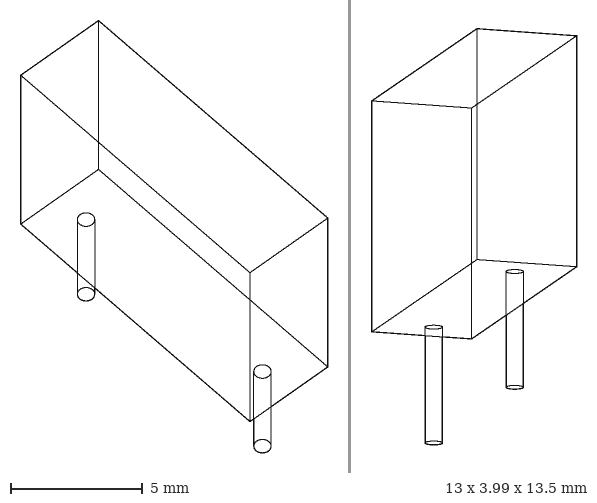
import cadquery as cq

total_height = 13.51
body_length = 13.0
body_width = 3.99
body_height = 9.0

lead_diameter = 0.66
lead_pitch = 10.0
lead_length = total_height - body_height


def make_body():
    """Rectangular component body standing on the plane Z = 0."""
    return cq.Workplane("XY").box(body_length, body_width, body_height, centered=(True, True, False))


def make_lead(x):
    """Round wire lead hanging from the underside of the body."""
    return cq.Workplane("XY").center(x, 0).circle(lead_diameter / 2).extrude(-lead_length)


body = make_body()
leads = [make_lead(side * lead_pitch / 2) for side in (-1, 1)]

result = cq.Compound.makeCompound([body.val(), *[lead.val() for lead in leads]])